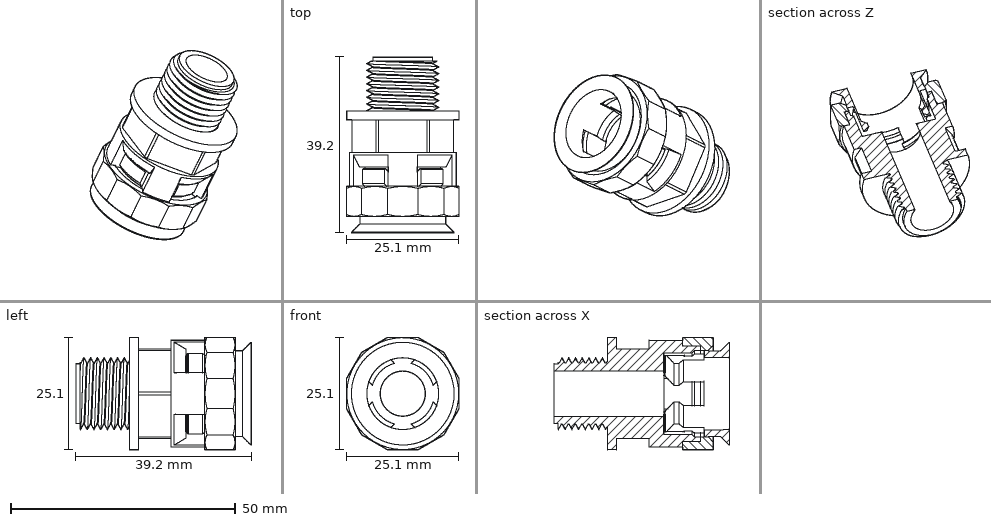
import cadquery as cq
import math


INSERT_FRONT = 0.0
NUT_FRONT = 3.65
SPIGOT_FRONT = 6.5
NUT_BACK = 10.47
BORE_FLOOR = 14.7
CAGE_BACK = 18.0
FLANGE_FRONT = 25.22
FLANGE_BACK = 27.25
THREAD_END = 38.3
TOTAL_LENGTH = 39.2

CABLE_BORE_RADIUS = 5.0
CAGE_RADIUS = 11.94
CAGE_BORE_RADIUS = 9.05
MOUTH_RADIUS = 9.6
MOUTH_BACK = 7.87
SPIGOT_RADIUS = 10.7
HEX_ACROSS_FLATS = 20.0
HEX_CORNER_RADIUS = 11.35
FLANGE_RADIUS = 12.55
TIP_RADIUS = 6.67

WINDOW_FRONT = 10.1
WINDOW_BACK = 17.35
WINDOW_CONE_RADIUS = 10.45
TOP_RIB_HALF_WIDTH = 3.25
SIDE_RIB_HALF_WIDTH = 4.68
SIDE_RIB_TAPER = 26.0
WINDOW_REACH = 2 * CAGE_RADIUS

THREAD_RADIUS = 8.05
THREAD_ROOT_RADIUS = 6.85
THREAD_PITCH = 1.5
THREAD_BASE_WIDTH = 1.4
THREAD_OVERLAP = 0.1
THREAD_START = 25.02
THREAD_TURNS = 10

NUT_SIDES = 12
NUT_ACROSS_FLATS = 25.11
NUT_FACE_RADIUS = 12.47
NUT_CHAMFER_LENGTH = 0.5
NUT_MOUTH_RADIUS = 10.8
NUT_MOUTH_DEPTH = 1.1

HOSE_BORE_RADIUS = 8.0
FLARE_RADIUS = 11.45
FLARE_LIP = 0.2
FLARE_BACK = 2.05
FINGER_FRONT = 5.7
FINGER_HALF_WIDTH = 3.47
FINGER_TIP = 14.4
LUG_RADIUS = 9.88
LUG_FRONT = 11.0
LUG_CHAMFER = 0.27
TOOTH_FRONT = 10.3
TOOTH_CREST_FRONT = 11.3
TOOTH_CREST_BACK = 12.43
TOOTH_RADIUS = 7.0

MOUTH_STEP = MOUTH_RADIUS - CAGE_BORE_RADIUS


def revolved(profile):
    """Turn a closed (radius, y) outline about the Y axis."""
    return cq.Workplane("XY").polyline(profile).close().revolve(360, (0, 0, 0), (0, 1, 0))


def section_at(y):
    """Workplane across the axis: local x is X, local y is Z, negative extrusion runs toward +Y."""
    return cq.Workplane("XZ", origin=(0, y, 0))


def cylinder(radius, start, end):
    return section_at(start).circle(radius).extrude(start - end)


def regular_prism(sides, across_flats, start, end, turn=0.0):
    corner_diameter = across_flats / math.cos(math.pi / sides)
    prism = section_at(start).polygon(sides, corner_diameter).extrude(start - end)
    return prism.rotate((0, 0, 0), (0, 1, 0), turn)


def make_thread():
    """Left-hand V thread, trimmed flat at both ends."""
    inner_radius = THREAD_ROOT_RADIUS - THREAD_OVERLAP
    half_base = THREAD_BASE_WIDTH / 2
    helix = cq.Wire.makeHelix(THREAD_PITCH, THREAD_TURNS * THREAD_PITCH, inner_radius, lefthand=True)
    ridge = (
        cq.Workplane("XZ")
        .polyline([(inner_radius, -half_base), (THREAD_RADIUS, 0), (inner_radius, half_base)])
        .close()
        .sweep(cq.Workplane(helix), isFrenet=True)
        .rotate((0, 0, 0), (1, 0, 0), -90)
        .translate((0, THREAD_START, 0))
    )
    ridge_end = THREAD_START + THREAD_TURNS * THREAD_PITCH
    core = cylinder(THREAD_ROOT_RADIUS, THREAD_START - THREAD_PITCH, ridge_end + THREAD_PITCH)
    return core.union(ridge).intersect(cylinder(FLANGE_RADIUS, FLANGE_BACK, THREAD_END))


def make_windows():
    """Four openings between the cage ribs, closed at the back by a cone."""
    span = revolved([
        (0, WINDOW_FRONT),
        (CAGE_RADIUS, WINDOW_FRONT),
        (CAGE_RADIUS, WINDOW_BACK),
        (WINDOW_CONE_RADIUS, BORE_FLOOR),
        (0, BORE_FLOOR),
    ])
    rib_edge_x = math.sqrt(CAGE_RADIUS**2 - SIDE_RIB_HALF_WIDTH**2)
    rib_slope = math.tan(math.radians(SIDE_RIB_TAPER))

    def side_rib_z(x):
        return SIDE_RIB_HALF_WIDTH + (x - rib_edge_x) * rib_slope

    quadrant = [
        (TOP_RIB_HALF_WIDTH, side_rib_z(TOP_RIB_HALF_WIDTH)),
        (WINDOW_REACH, side_rib_z(WINDOW_REACH)),
        (WINDOW_REACH, WINDOW_REACH),
        (TOP_RIB_HALF_WIDTH, WINDOW_REACH),
    ]
    openings = cq.Workplane("XZ")
    for x_side in (-1, 1):
        for z_side in (-1, 1):
            corners = [(x_side * x, z_side * z) for x, z in quadrant]
            prism = section_at(WINDOW_FRONT).polyline(corners).close().extrude(WINDOW_FRONT - WINDOW_BACK)
            openings = openings.add(prism)
    return openings.combine().intersect(span)


def make_housing():
    spigot = cylinder(SPIGOT_RADIUS, SPIGOT_FRONT, NUT_BACK)
    cage = cylinder(CAGE_RADIUS, NUT_BACK, CAGE_BACK)
    hexagon = regular_prism(6, HEX_ACROSS_FLATS, CAGE_BACK, FLANGE_FRONT)
    hexagon = hexagon.intersect(cylinder(HEX_CORNER_RADIUS, CAGE_BACK, FLANGE_FRONT))
    flange = cylinder(FLANGE_RADIUS, FLANGE_FRONT, FLANGE_BACK)
    tip = cylinder(TIP_RADIUS, THREAD_END, TOTAL_LENGTH)
    stepped_bore = revolved([
        (0, SPIGOT_FRONT),
        (MOUTH_RADIUS, SPIGOT_FRONT),
        (MOUTH_RADIUS, MOUTH_BACK),
        (CAGE_BORE_RADIUS, MOUTH_BACK + MOUTH_STEP),
        (CAGE_BORE_RADIUS, BORE_FLOOR),
        (CABLE_BORE_RADIUS, BORE_FLOOR),
        (CABLE_BORE_RADIUS, TOTAL_LENGTH),
        (0, TOTAL_LENGTH),
    ])
    body = spigot.union(cage).union(hexagon).union(flange).union(make_thread()).union(tip)
    return body.cut(make_windows()).cut(stepped_bore)


def make_nut():
    """Twelve-sided nut, corners turned down at both ends, with a front lip that closes on the insert."""
    half_step = 180 / NUT_SIDES
    blank = regular_prism(NUT_SIDES, NUT_ACROSS_FLATS, NUT_FRONT, NUT_BACK, half_step)
    corner_radius = NUT_ACROSS_FLATS / 2 / math.cos(math.pi / NUT_SIDES)
    envelope = revolved([
        (NUT_MOUTH_RADIUS, NUT_FRONT),
        (NUT_FACE_RADIUS, NUT_FRONT),
        (corner_radius, NUT_FRONT + NUT_CHAMFER_LENGTH),
        (corner_radius, NUT_BACK - NUT_CHAMFER_LENGTH),
        (NUT_FACE_RADIUS, NUT_BACK),
        (SPIGOT_RADIUS, NUT_BACK),
        (SPIGOT_RADIUS, SPIGOT_FRONT),
        (MOUTH_RADIUS, SPIGOT_FRONT),
        (MOUTH_RADIUS, NUT_FRONT + NUT_MOUTH_DEPTH),
    ])
    return blank.intersect(envelope)


def make_insert():
    """Flared sleeve whose back end is split into four barbed fingers on the diagonals."""
    barb_height = LUG_RADIUS - CAGE_BORE_RADIUS
    sleeve = revolved([
        (HOSE_BORE_RADIUS, INSERT_FRONT),
        (FLARE_RADIUS, INSERT_FRONT),
        (FLARE_RADIUS, FLARE_LIP),
        (MOUTH_RADIUS, FLARE_BACK),
        (MOUTH_RADIUS, MOUTH_BACK),
        (CAGE_BORE_RADIUS, MOUTH_BACK + MOUTH_STEP),
        (CAGE_BORE_RADIUS, LUG_FRONT - barb_height),
        (LUG_RADIUS, LUG_FRONT),
        (LUG_RADIUS, FINGER_TIP - LUG_CHAMFER),
        (LUG_RADIUS - LUG_CHAMFER, FINGER_TIP),
        (TOOTH_RADIUS, TOOTH_CREST_BACK),
        (TOOTH_RADIUS, TOOTH_CREST_FRONT),
        (HOSE_BORE_RADIUS, TOOTH_FRONT),
    ])
    finger_width = 2 * FINGER_HALF_WIDTH
    finger_length = FINGER_TIP - FINGER_FRONT
    finger_cross = cylinder(FLARE_RADIUS, INSERT_FRONT, FINGER_FRONT)
    for angle in (45, 135):
        bar = section_at(FINGER_FRONT).rect(2 * FLARE_RADIUS, finger_width).extrude(-finger_length)
        finger_cross = finger_cross.union(bar.rotate((0, 0, 0), (0, 1, 0), angle))
    return sleeve.intersect(finger_cross)


housing = make_housing()
nut = make_nut()
insert = make_insert()

result = cq.Compound.makeCompound([housing.val(), nut.val(), insert.val()])